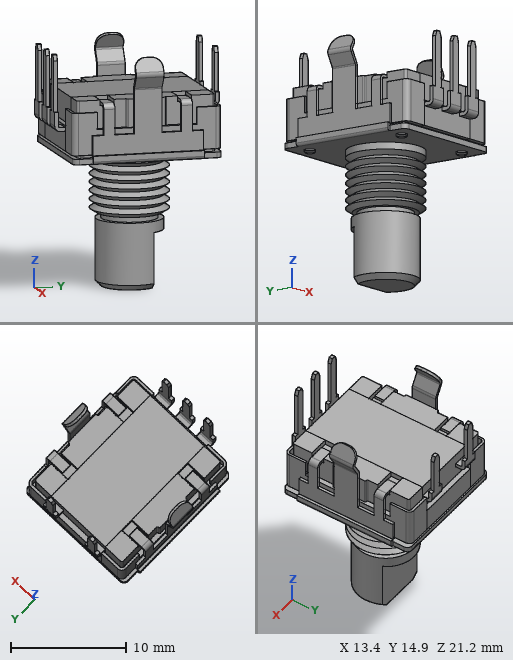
import cadquery as cq
import math


sheet = 0.28
plate_x, plate_y, plate_thick = 12.0, 13.4, 0.5
corner_radius = 0.5
lip_length = 10.0
lip_height = 0.75
lip_bend_radius = 0.25
joggle_overlap = 0.05
wall_outer = plate_x / 2
wall_inner = wall_outer - sheet
wall_top = 2.5
tab_width = 1.0
tab_y = 3.5
tab_tip = 4.0
tab_bend_radius = 0.5
clip_width = 2.5
clip_top = 9.2
clip_angle = 30.0
clip_bend_z = 6.46
clip_reach = 13.36 / 2
clip_apex_radius = 0.47
clip_base_radius = 0.25
clip_tip_radius = 1.0

flange_x, flange_y = 11.0, 12.4
flange_top = lip_height
flange_corner = 0.25
thread_diameter = 7.0
thread_root_diameter = 5.85
thread_pitch = 0.75
thread_crests = 6
collar_end = -0.625
bore_diameter = 5.0
rivet_diameter = 1.0
rivet_x, rivet_y = 4.3, 5.0
rivet_head = 0.25
rivet_chamfer = 0.12

shaft_diameter = 6.0
shaft_end = -12.0
shaft_shoulder = -6.0
shaft_chamfer = 0.5
flat_start = -7.0
flat_offset = 1.5

housing_x, housing_y = 2 * wall_inner, plate_y
ledge_z = 3.0
rim_z = 4.5
body_top = 5.5
rim_inner_x, rim_inner_y = 11.0, 12.88
rim_notch_length = 9.0
rim_inner_corner = 0.25
core_x, core_y = 10.5, 12.4
core_corner = 0.2
bulge_x, bulge_length, bulge_fillet = 11.0, 3.5, 0.1
slot_width = 1.25
slot_floor = 5.0
bridge_y, bridge_top = 11.0, 2.0

block_width = 6.5
pin_thick = 0.35
pin_width, pin_foot_width, pin_tip_width = 0.8, 1.5, 0.4
pin_top = 9.2
pin_taper = 0.5
pin_bend_radius = 0.5
pin_pitch = 2.5
pin_root = 1.0
front_face, front_bottom, front_shoulder = 7.65, 2.5, 4.2
rear_face, rear_bottom, rear_shoulder = 7.2, 4.1, 5.27


def block(size_x, size_y, z_bottom, z_top):
    """Box centred on the Z axis between two heights."""
    height = z_top - z_bottom
    return cq.Workplane("XY", origin=(0, 0, z_bottom)).box(size_x, size_y, height, (True, True, False))


def rounded_block(size_x, size_y, z_bottom, z_top, radius):
    return block(size_x, size_y, z_bottom, z_top).edges("|Z").fillet(radius)


def cylinder(diameter, z_bottom, z_top):
    return cq.Workplane("XY", origin=(0, 0, z_bottom)).circle(diameter / 2).extrude(z_top - z_bottom)


def side_profile(width, y_centre=0.0):
    """XZ workplane from which an extrusion of the given width is centred on y_centre."""
    return cq.Workplane("XZ", origin=(0, y_centre + width / 2, 0))


def make_shaft():
    shaft = cylinder(shaft_diameter, shaft_end, shaft_shoulder).faces("<Z").chamfer(shaft_chamfer)
    shaft = shaft.union(cylinder(bore_diameter, shaft_shoulder, flange_top))
    flat = block(2 * shaft_diameter, shaft_diameter, shaft_end, flat_start)
    return shaft.cut(flat.translate((0, flat_offset + shaft_diameter / 2, 0)))


def make_rivets():
    """Four chamfered posts that hold the plate to the bushing flange."""
    rivet = cylinder(rivet_diameter, -rivet_head, plate_thick).faces("<Z").chamfer(rivet_chamfer)
    places = [(x, y, 0) for x in (-rivet_x, rivet_x) for y in (-rivet_y, rivet_y)]
    return [rivet.translate(place) for place in places]


def make_bushing():
    crest, root = thread_diameter / 2, thread_root_diameter / 2
    profile = cq.Workplane("XZ").moveTo(0, flange_top).lineTo(crest, flange_top).lineTo(crest, collar_end)
    for turn in range(1, thread_crests + 1):
        crest_z = collar_end - turn * thread_pitch
        profile = profile.lineTo(root, crest_z + thread_pitch / 2).lineTo(crest, crest_z)
    bushing_end = collar_end - (thread_crests + 0.5) * thread_pitch
    profile = profile.lineTo(root, bushing_end).lineTo(0, bushing_end).close()
    bushing = profile.revolve(360, (0, 0, 0), (0, 1, 0))
    bushing = bushing.union(rounded_block(flange_x, flange_y, plate_thick, flange_top, flange_corner))
    for rivet in make_rivets():
        bushing = bushing.union(rivet)
    return bushing.cut(cylinder(bore_diameter, bushing_end, flange_top))


def make_lip():
    """Bent-up edge of the plate, on the +X side."""
    length_x = sheet + joggle_overlap
    lip = block(length_x, lip_length, 0, lip_height).edges("|Y and >X and <Z").fillet(lip_bend_radius)
    return lip.translate((wall_outer - joggle_overlap + length_x / 2, 0, 0))


def make_wall():
    wall = block(sheet, lip_length, lip_height - joggle_overlap, wall_top)
    return wall.translate((wall_outer - sheet / 2, 0, 0))


def make_tab(y_centre):
    """Strip that rises from the wall and folds inward over the housing."""
    tab_top = slot_floor + sheet
    strip = (
        side_profile(tab_width, y_centre)
        .moveTo(wall_outer, lip_height)
        .lineTo(wall_outer, tab_top - tab_bend_radius)
        .radiusArc((wall_outer - tab_bend_radius, tab_top), -tab_bend_radius)
        .lineTo(tab_tip, tab_top)
        .lineTo(tab_tip, slot_floor)
        .lineTo(wall_outer - tab_bend_radius, slot_floor)
        .radiusArc((wall_inner, tab_top - tab_bend_radius), tab_bend_radius - sheet)
        .lineTo(wall_inner, lip_height)
        .close()
    )
    return strip.extrude(tab_width)


def make_clip():
    """Snap clip: leans outward, then back inward, with a rounded tip."""
    lean = math.radians(clip_angle)
    apex_x = clip_reach + clip_apex_radius * (1 / math.cos(lean) - 1)
    apex_z = clip_bend_z + (apex_x - wall_outer) / math.tan(lean)
    tip_x = apex_x - (clip_top - apex_z) * math.tan(lean)
    inner_bend_z = clip_bend_z + sheet * math.tan(lean / 2)
    inner_apex_x = apex_x - sheet / math.cos(lean)
    inner_tip = (tip_x - sheet * math.cos(lean), clip_top - sheet * math.sin(lean))
    outline = (
        side_profile(clip_width)
        .moveTo(wall_inner, lip_height)
        .lineTo(wall_outer, lip_height)
        .lineTo(wall_outer, clip_bend_z)
        .lineTo(apex_x, apex_z)
        .lineTo(tip_x, clip_top)
        .lineTo(*inner_tip)
        .lineTo(inner_apex_x, apex_z)
        .lineTo(wall_inner, inner_bend_z)
        .close()
    )
    clip = outline.extrude(clip_width)

    def bend_edge(x, z):
        return cq.selectors.NearestToPointSelector((x, 0, z))

    clip = clip.edges(bend_edge(apex_x, apex_z)).fillet(clip_apex_radius)
    clip = clip.edges(bend_edge(inner_apex_x, apex_z)).fillet(clip_apex_radius - sheet)
    clip = clip.edges(bend_edge(wall_outer, clip_bend_z)).fillet(clip_base_radius)
    clip = clip.edges(bend_edge(wall_inner, inner_bend_z)).fillet(clip_base_radius + sheet)
    tip_middle = ((tip_x + inner_tip[0]) / 2, (clip_top + inner_tip[1]) / 2)
    for side in (-1, 1):
        corner = (tip_middle[0], side * clip_width / 2, tip_middle[1])
        clip = clip.edges(cq.selectors.NearestToPointSelector(corner)).fillet(clip_tip_radius)
    return clip


def make_bracket():
    side = make_lip().union(make_wall()).union(make_clip())
    for y in (-tab_y, tab_y):
        side = side.union(make_tab(y))
    bracket = rounded_block(plate_x, plate_y, 0, plate_thick, corner_radius)
    bracket = bracket.union(side).union(side.mirror("YZ"))
    bracket = bracket.cut(cylinder(thread_diameter, 0, plate_thick))
    for rivet in make_rivets():
        bracket = bracket.cut(rivet)
    return bracket


def make_core():
    """Raised middle of the housing, with a bulge on each X side."""
    core = rounded_block(core_x, core_y, ledge_z, body_top, core_corner)
    core = core.union(block(bulge_x, bulge_length, ledge_z, body_top))
    bulge_zone = (bulge_x, bulge_length, body_top)
    bulge_corners = cq.selectors.BoxSelector((-bulge_x, -bulge_length, 0), bulge_zone)
    return core.edges("|Z").edges(bulge_corners).fillet(bulge_fillet)


def make_rim():
    """Corner walls that stand around the core with a gap."""
    rim = rounded_block(housing_x, housing_y, ledge_z, rim_z, corner_radius)
    rim = rim.cut(rounded_block(rim_inner_x, rim_inner_y, ledge_z, rim_z, rim_inner_corner))
    return rim.cut(block(housing_x, rim_notch_length, ledge_z, rim_z))


def make_bridge():
    """Part of the housing that runs under the terminal block."""
    return block(block_width, bridge_y, flange_top, bridge_top)


def make_housing():
    housing = rounded_block(housing_x, housing_y, flange_top, ledge_z, corner_radius)
    housing = housing.union(make_core()).union(make_rim())
    for y in (-tab_y, tab_y):
        housing = housing.cut(block(housing_x, slot_width, slot_floor, body_top).translate((0, y, 0)))
    channel = block(block_width, housing_y, flange_top, body_top)
    return housing.cut(channel.cut(make_bridge()))


def make_pin(face, bottom, shoulder):
    """L-shaped pin on the -Y side, its outer face at Y = -face."""
    root = pin_root - housing_y / 2
    inner_radius = pin_bend_radius - pin_thick
    bent_strip = (
        cq.Workplane("YZ", origin=(-pin_foot_width / 2, 0, 0))
        .moveTo(root, bottom)
        .lineTo(pin_bend_radius - face, bottom)
        .radiusArc((-face, bottom + pin_bend_radius), pin_bend_radius)
        .lineTo(-face, pin_top)
        .lineTo(pin_thick - face, pin_top)
        .lineTo(pin_thick - face, bottom + pin_bend_radius)
        .radiusArc((pin_bend_radius - face, bottom + pin_thick), -inner_radius)
        .lineTo(root, bottom + pin_thick)
        .close()
        .extrude(pin_foot_width)
    )
    right_half = [
        (pin_foot_width / 2, bottom),
        (pin_foot_width / 2, shoulder),
        (pin_width / 2, shoulder),
        (pin_width / 2, pin_top - pin_taper),
        (pin_tip_width / 2, pin_top),
    ]
    left_half = [(-x, z) for x, z in reversed(right_half)]
    front_shape = cq.Workplane("XZ").polyline(right_half + left_half).close().extrude(face)
    return bent_strip.intersect(front_shape)


def make_terminal_block():
    terminals = block(block_width, housing_y, flange_top, ledge_z)
    terminals = terminals.union(block(block_width, core_y, ledge_z, body_top)).cut(make_bridge())
    front_pin = make_pin(front_face, front_bottom, front_shoulder)
    for x in (-pin_pitch, 0, pin_pitch):
        terminals = terminals.union(front_pin.translate((x, 0, 0)))
    rear_pin = make_pin(rear_face, rear_bottom, rear_shoulder).mirror("XZ")
    for x in (-pin_pitch, pin_pitch):
        terminals = terminals.union(rear_pin.translate((x, 0, 0)))
    return terminals


shaft = make_shaft()
bushing = make_bushing()
bracket = make_bracket()
housing = make_housing()
terminal_block = make_terminal_block()

result = cq.Compound.makeCompound(
    [shaft.val(), bushing.val(), bracket.val(), housing.val(), terminal_block.val()]
)